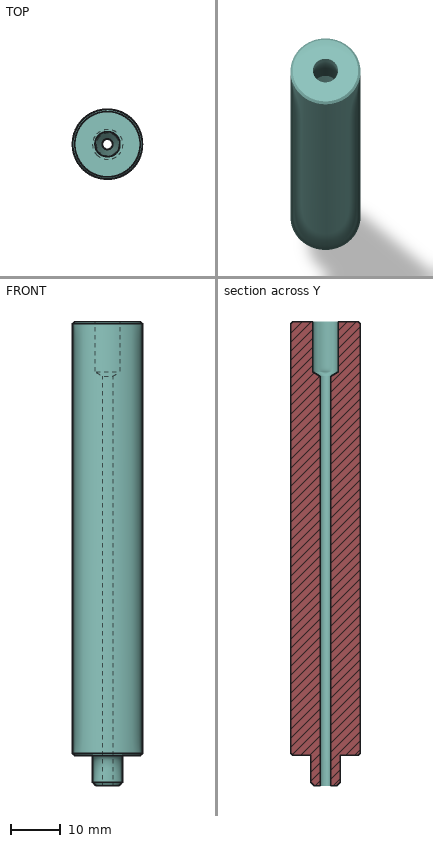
import cadquery as cq
import math

total_length = 93.0
body_diameter = 14.0
stud_diameter = 6.0
stud_length = 6.0
socket_diameter = 5.0
socket_depth = 10.0
socket_point_angle = 118.0
bore_diameter = 2.0

body_chamfer = 0.5
stud_chamfer = 0.7

top_z = total_length / 2
bottom_z = -top_z
shoulder_z = bottom_z + stud_length
body_length = total_length - stud_length


def cylinder(diameter, start_z, length):
    """Upright cylinder on the part axis."""
    return cq.Workplane("XY").workplane(offset=start_z).circle(diameter / 2).extrude(length)


def make_body():
    """Main cylinder with both rims chamfered."""
    return cylinder(body_diameter, shoulder_z, body_length).edges("%CIRCLE").chamfer(body_chamfer)


def make_stud():
    """Smaller end pin with a chamfered tip."""
    return cylinder(stud_diameter, bottom_z, stud_length).faces("<Z").edges().chamfer(stud_chamfer)


def make_socket():
    """Blind drilled hole from the top face, ending in a drill point."""
    radius = socket_diameter / 2
    cone_top_z = top_z - socket_depth
    cone_height = radius / math.tan(math.radians(socket_point_angle / 2))
    return (
        cq.Workplane("XZ")
        .moveTo(0, top_z)
        .lineTo(radius, top_z)
        .lineTo(radius, cone_top_z)
        .lineTo(0, cone_top_z - cone_height)
        .close()
        .revolve(360, (0, 0), (0, 1))
    )


bore = cylinder(bore_diameter, bottom_z, total_length)
result = make_body().union(make_stud()).cut(make_socket()).cut(bore)